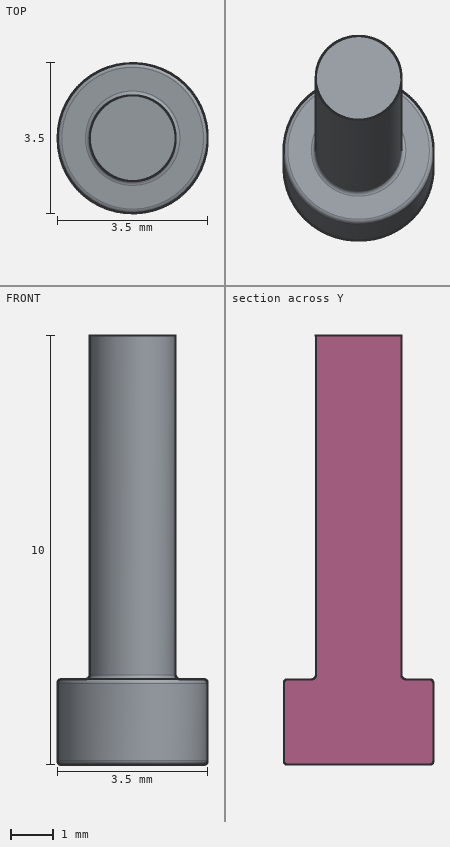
import cadquery as cq

total_length = 10.0
head_diameter = 3.5
head_height = 2.0
shank_diameter = 2.0
head_edge_radius = 0.1
neck_fillet_radius = 0.1

head_side = -head_diameter / 2
shank_side = -shank_diameter / 2
head_rim = head_side + head_edge_radius
neck_foot = shank_side - neck_fillet_radius

half_profile = (
    cq.Workplane("XZ")
    .lineTo(head_rim, 0)
    .tangentArcPoint((head_side, head_edge_radius), relative=False)
    .lineTo(head_side, head_height - head_edge_radius)
    .tangentArcPoint((head_rim, head_height), relative=False)
    .lineTo(neck_foot, head_height)
    .tangentArcPoint((shank_side, head_height + neck_fillet_radius), relative=False)
    .lineTo(shank_side, total_length)
    .lineTo(0, total_length)
    .close()
)

result = half_profile.revolve(360, (0, 0), (0, 1))